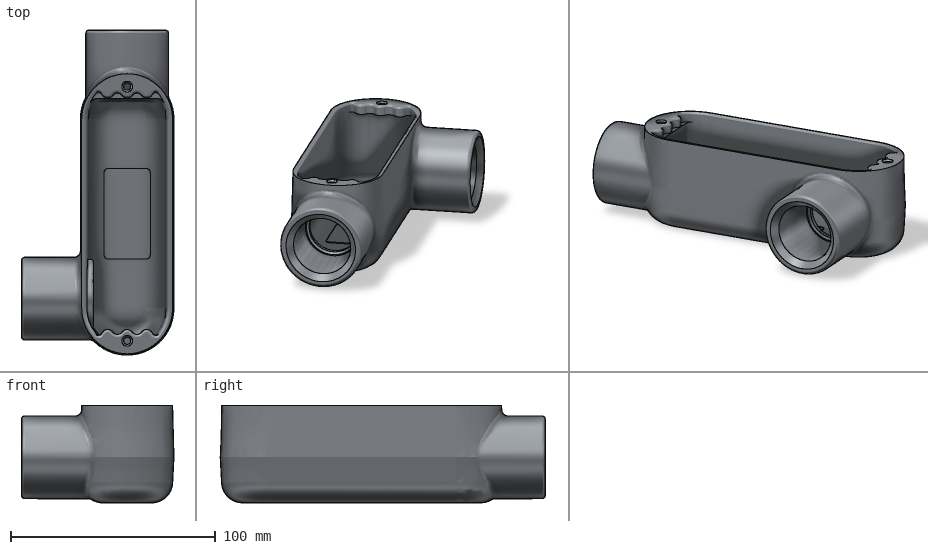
import cadquery as cq
import math


overall_length = 158.7
body_radius = 22.9
straight_length = 92.4
top_z = 25.4
bottom_z = -22.2
upper_draft = 1.5
lower_draft = 3.0
body_bottom_fillet = 10.3

cavity_radius = 19.8
cavity_draft = 1.5
floor_thickness = 2.4
cavity_floor_fillet = 9.5
end_wall_y = straight_length + 10.0
end_wall_fillet = 3.2
rim_fillet = 1.5
corner_fillet = 1.6

lug_thickness = 4.8
wave_crest = 10.3
wave_trough = 12.7
wave_half_pitch = 4.8
wave_half_steps = 2
screw_offset = 15.9
screw_diameter = 3.5
screw_sink_diameter = 5.2
screw_sink_depth = (screw_sink_diameter - screw_diameter) / 2

plate_width = 22.5
plate_length = 44.3
plate_corner = 2.0
plate_height = 0.5

hub_diameter = 40.5
hub_blend = 3.0
hub_edge_fillet = 1.6
side_hub_y = 4.8
side_hub_end = 51.5
end_hub_end = overall_length - body_radius
mouth_diameter = 34.6
mouth_depth = 3.2
bore_diameter = 28.4
bore_end_diameter = 27.6
lip_diameter = 24.3
lip_length = 3.2
lip_fillet = 1.1
hub_pad_diameter = 38.1
hub_pad_x = -16.5
hub_pad_fillet = 1.1


cutter_size = 2 * overall_length


def stadium(radius, z):
    """Long round-ended outline at height z."""
    return (
        cq.Workplane("XY", origin=(0, straight_length / 2, z))
        .slot2D(straight_length + 2 * radius, 2 * radius, 90)
    )


def along_hub(shape, start, direction):
    """Turn a shape that runs along +Z from the origin so it runs from start along direction."""
    plane = cq.Plane(origin=start, xDir=(0, 0, 1), normal=direction)
    return shape.val().moved(plane.location)


side_hub = ((0, side_hub_y, 0), (-1, 0, 0), side_hub_end)
end_hub = ((0, straight_length, 0), (0, 1, 0), end_hub_end - straight_length)


def hub_cylinder(start, direction, length):
    cylinder = cq.Workplane("XY").circle(hub_diameter / 2).extrude(length)
    return along_hub(cylinder, start, direction)


def make_outside():
    upper = stadium(body_radius, 0).extrude(top_z, taper=upper_draft)
    lower = stadium(body_radius, 0).extrude(bottom_z, taper=lower_draft)
    lower = lower.faces("<Z").edges().fillet(body_bottom_fillet)
    body = upper.union(lower)
    for hub in (side_hub, end_hub):
        body = body.union(hub_cylinder(*hub))
    return round_hub_edges(body)


def round_hub_edges(body):
    """Round each hub's end face and blend its root into the body."""
    for hub_side in ("<X", ">Y"):
        body = body.faces(hub_side).edges().fillet(hub_edge_fillet)
    for hub_side in ("<X", ">Y"):
        hub_wall = body.faces("%CYLINDER").faces(hub_side)
        body = hub_wall.edges("not(%LINE or %CIRCLE)").fillet(hub_blend)
    return body


def make_chamber():
    """Drafted cavity with a rounded floor and a flat wall at the end-hub side."""
    depth = top_z - bottom_z - floor_thickness
    chamber = stadium(cavity_radius, top_z).extrude(-depth, taper=cavity_draft)
    chamber = chamber.faces("<Z").edges().fillet(cavity_floor_fillet)
    beyond_wall = cq.Workplane("XY", origin=(0, end_wall_y, 0))
    beyond_wall = beyond_wall.box(cutter_size, cutter_size, cutter_size, centered=(True, False, True))
    chamber = chamber.cut(beyond_wall)
    chamber = chamber.faces(">Y").edges("not >Z").fillet(end_wall_fillet)
    lug_level = cq.Workplane("XY", origin=(0, 0, top_z - lug_thickness))
    above_lug_base = lug_level.box(cutter_size, cutter_size, cutter_size, centered=(True, True, False))
    return chamber.cut(above_lug_base)


def scalloped_block(direction):
    """Block inside a scalloped lug edge; end-arc centre at Y = 0, outward along direction (1 or -1) * Y."""
    middle = (wave_crest + wave_trough) / 2
    depth = wave_trough - wave_crest
    half_step = wave_half_pitch / 2
    radius = (half_step**2 + (depth / 2) ** 2) / depth
    end_slope = math.tan(math.asin(half_step / radius))
    last_x = (wave_half_steps + 0.5) * wave_half_pitch
    end_x = cavity_radius
    end_y = middle + (end_x - last_x) * end_slope

    outline = cq.Workplane("XY", origin=(0, 0, top_z - lug_thickness)).moveTo(-end_x, direction * end_y)
    outline = outline.lineTo(-last_x, direction * middle)
    for step in range(-wave_half_steps, wave_half_steps + 1):
        x = step * wave_half_pitch
        extreme = wave_crest if step % 2 == 0 else wave_trough
        outline = outline.threePointArc((x, direction * extreme), (x + half_step, direction * middle))
    inner_y = -direction * straight_length / 2
    outline = outline.lineTo(end_x, direction * end_y).lineTo(end_x, inner_y).lineTo(-end_x, inner_y)
    return outline.close().extrude(lug_thickness)


def make_opening():
    """Drafted mouth of the cavity between the two scalloped lugs."""
    mouth = stadium(cavity_radius, top_z).extrude(-lug_thickness, taper=cavity_draft)
    near = scalloped_block(-1)
    far = scalloped_block(1).translate((0, straight_length, 0))
    mouth = mouth.intersect(near.union(far))
    middle_z = top_z - lug_thickness / 2
    zone_x = cavity_radius - rim_fillet
    zone_z = lug_thickness / 4
    corners = cq.selectors.BoxSelector(
        (-zone_x, -cutter_size, middle_z - zone_z),
        (zone_x, cutter_size, middle_z + zone_z),
    )
    return mouth.edges(corners).fillet(corner_fillet)


def hub_passage(start, direction, length, inner_end):
    """Stepped bore of a hub: mouth cone, tapered bore and rounded lip, from the end face inward."""
    lip_end = length - inner_end
    lip_start = lip_end - lip_length
    open_end = lip_end + lip_length
    profile = (
        cq.Workplane("XZ")
        .lineTo(mouth_diameter / 2, 0)
        .lineTo(bore_diameter / 2, mouth_depth)
        .lineTo(bore_end_diameter / 2, lip_start)
        .lineTo(lip_diameter / 2 + lip_fillet, lip_start)
        .radiusArc((lip_diameter / 2, lip_start + lip_fillet), -lip_fillet)
        .lineTo(lip_diameter / 2, open_end)
        .lineTo(0, open_end)
        .close()
    )
    passage = profile.revolve(360, (0, 0), (0, 1))
    end_centre = cq.Vector(*start) + cq.Vector(*direction) * length
    return along_hub(passage, end_centre, cq.Vector(*direction) * -1)


def make_hub_pad():
    """Round pad that thickens the body wall around the side opening."""
    reach = cavity_radius + hub_pad_x
    pad = cq.Workplane("XY").circle(hub_pad_diameter / 2).extrude(reach)
    pad = pad.faces(">Z").edges().fillet(hub_pad_fillet)
    return along_hub(pad, (-cavity_radius, side_hub_y, 0), (1, 0, 0))


def make_floor_plate():
    """Slightly raised plate in the middle of the cavity floor, sunk into the floor below."""
    plate = cq.Workplane("XY", origin=(0, straight_length / 2, bottom_z + floor_thickness / 2))
    plate = plate.rect(plate_width, plate_length).extrude(floor_thickness / 2 + plate_height)
    return plate.edges("|Z").fillet(plate_corner)


def make_screw_hole(y):
    """Countersunk screw hole through the thickness of a lug."""
    hole = cq.Workplane("XY", origin=(0, y, top_z)).circle(screw_diameter / 2).extrude(-lug_thickness)
    sink = cq.Workplane("XY", origin=(0, y, top_z)).circle(screw_sink_diameter / 2)
    return hole.union(sink.extrude(-screw_sink_depth, taper=45))


body = make_outside().cut(make_chamber()).cut(make_opening())
rim_edges = body.faces(">Z").val().innerWires()[0].Edges()
body = body.newObject(rim_edges).fillet(rim_fillet)
body = body.union(make_hub_pad()).union(make_floor_plate())
body = body.cut(hub_passage(*side_hub, -hub_pad_x))
body = body.cut(hub_passage(*end_hub, end_wall_y - straight_length))
for screw_y in (-screw_offset, straight_length + screw_offset):
    body = body.cut(make_screw_hole(screw_y))
result = body